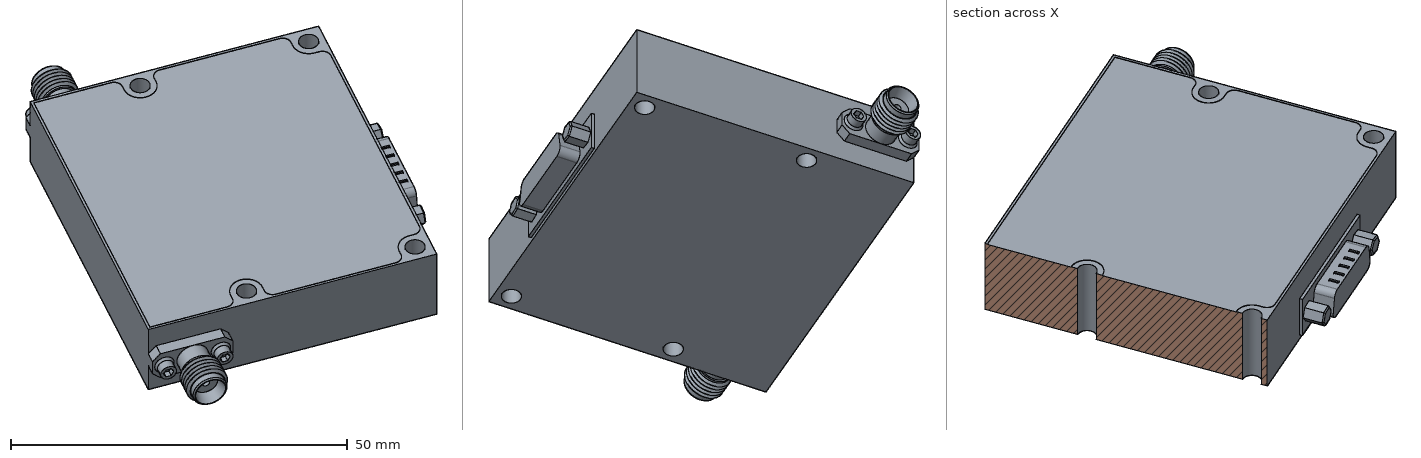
import cadquery as cq
import math

housing_width = 50.8
housing_depth = 45.7
housing_height = 12.7

mount_hole_dia = 3.0
mount_hole_inset = 2.5
mount_x = housing_width / 2 - mount_hole_inset
mount_rear_y = housing_depth - mount_hole_inset
mount_front_y = 16.5

lid_margin = 0.4
lid_recess = 0.1
lid_ear_radius = 2.5
lid_corner_radius = 1.3

coax_overall_width = 69.85
coax_y = 6.35
coax_z = housing_height / 2
coax_length = (coax_overall_width - housing_width) / 2
coax_flange_length = 2 * coax_y
coax_flange_height = 5.0
coax_flange_thickness = 1.8
coax_flange_chamfer = 1.25
barrel_dia = 4.95
tip_dia = 5.4
tip_length = 1.2
tip_chamfer = 0.2
thread_root_dia = 5.6
thread_crest_dia = 6.5
thread_pitch = 0.7
thread_crests = 5
thread_runout = 0.35
mouth_dia = 4.75
mouth_floor_dia = 3.7
mouth_depth = 1.95
contact_hole_dia = 1.1
contact_hole_depth = 1.4

screw_spacing = 8.95
screw_head_dia = 2.5
screw_head_length = 1.8
screw_collar_dia = 3.1
screw_collar_length = 0.4
screw_socket_across_flats = 1.4
screw_socket_depth = 1.0

port_z = 4.25
port_length = 3.8
port_flange_width = 21.65
port_flange_height = 6.9
port_flange_thickness = 0.5
shell_bottom_width = 14.3
shell_height = 4.8
shell_side_angle = 10.0
shell_corner_radius = 1.1
shell_slot_count = 5
shell_slot_pitch = 1.9
shell_slot_width = 0.5
shell_slot_length = 1.55
shell_slot_depth = 0.3
shell_slot_end_gap = 0.5
jack_spacing = 18.1
jack_across_corners = 3.2
jack_turn = 7.0
jack_end_chamfer = 0.2


def make_housing():
    return cq.Workplane("XY").box(
        housing_width, housing_depth, housing_height, centered=(True, False, False)
    )


def lid_ear(side, y, reach_back):
    """Area left uncovered by the lid: a disc about a mounting hole, widened to the housing edges."""
    plane = cq.Workplane("XY", origin=(side * mount_x, y, housing_height - lid_recess))
    ear = plane.circle(lid_ear_radius).extrude(lid_recess)
    to_side = plane.center(side * lid_ear_radius / 2, 0).rect(lid_ear_radius, 2 * lid_ear_radius)
    ear = ear.union(to_side.extrude(lid_recess))
    if reach_back:
        to_back = plane.center(0, lid_ear_radius / 2).rect(2 * lid_ear_radius, lid_ear_radius)
        ear = ear.union(to_back.extrude(lid_recess))
    return ear


def make_lid_recess():
    """Shallow recess with the lid outline; only its corners beside the ears are rounded."""
    recess = (
        cq.Workplane("XY", origin=(0, housing_depth / 2, housing_height - lid_recess))
        .rect(housing_width - 2 * lid_margin, housing_depth - 2 * lid_margin)
        .extrude(lid_recess)
    )
    for side in (-1, 1):
        recess = recess.cut(lid_ear(side, mount_rear_y, True))
        recess = recess.cut(lid_ear(side, mount_front_y, False))
    margin_x = housing_width / 2 - lid_margin
    rear_corner = (mount_x - lid_ear_radius, housing_depth - lid_margin)
    side_corners_y = (
        mount_rear_y - lid_ear_radius,
        mount_front_y + lid_ear_radius,
        mount_front_y - lid_ear_radius,
    )
    corners = [rear_corner] + [(margin_x, y) for y in side_corners_y]
    for x, y in corners:
        for side in (-1, 1):
            corner = cq.selectors.NearestToPointSelector((side * x, y, housing_height - lid_recess / 2))
            recess = recess.edges("|Z").edges(corner).fillet(lid_corner_radius)
    return recess


def make_mount_holes():
    points = [(side * mount_x, y) for side in (-1, 1) for y in (mount_front_y, mount_rear_y)]
    return cq.Workplane("XY").pushPoints(points).circle(mount_hole_dia / 2).extrude(housing_height)


def make_coax_body():
    """Barrel, ring-shaped thread and tip, turned about X and growing along +X from x = 0."""
    tip_start = coax_length - tip_length
    thread_start = tip_start - thread_crests * thread_pitch
    root = thread_root_dia / 2
    crest = thread_crest_dia / 2
    profile = [
        (0, 0),
        (0, barrel_dia / 2),
        (thread_start - thread_runout, barrel_dia / 2),
        (thread_start - thread_runout, root),
        (thread_start, root),
    ]
    for ring in range(thread_crests):
        ring_start = thread_start + ring * thread_pitch
        profile.append((ring_start + thread_pitch / 2, crest))
        profile.append((ring_start + thread_pitch, root))
    profile += [
        (tip_start, tip_dia / 2),
        (coax_length - tip_chamfer, tip_dia / 2),
        (coax_length, tip_dia / 2 - tip_chamfer),
        (coax_length, mouth_dia / 2),
        (coax_length - mouth_depth, mouth_floor_dia / 2),
        (coax_length - mouth_depth, contact_hole_dia / 2),
        (coax_length - mouth_depth - contact_hole_depth, contact_hole_dia / 2),
        (coax_length - mouth_depth - contact_hole_depth, 0),
    ]
    return cq.Workplane("XY").polyline(profile).close().revolve(360, (0, 0, 0), (1, 0, 0))


def make_flange_screw():
    """Screw head with a tapered collar and a hexagon socket, seated on the flange face."""
    seat = cq.Workplane("YZ", origin=(coax_flange_thickness, 0, 0))
    head = seat.circle(screw_head_dia / 2).extrude(screw_head_length)
    collar = (
        seat.circle(screw_collar_dia / 2)
        .workplane(offset=screw_collar_length)
        .circle(screw_head_dia / 2)
        .loft(ruled=True)
    )
    socket = (
        cq.Workplane("YZ", origin=(coax_flange_thickness + screw_head_length, 0, 0))
        .polygon(6, screw_socket_across_flats / math.cos(math.radians(30)))
        .extrude(-screw_socket_depth)
    )
    return head.union(collar).cut(socket)


def make_coax_connector():
    """Complete connector pointing along +X, mounted on the right side of the housing."""
    connector = (
        cq.Workplane("YZ")
        .rect(coax_flange_length, coax_flange_height)
        .extrude(coax_flange_thickness)
        .edges("|X")
        .chamfer(coax_flange_chamfer)
    )
    connector = connector.union(make_coax_body())
    for side in (-1, 1):
        connector = connector.union(make_flange_screw().translate((0, side * screw_spacing / 2, 0)))
    return connector.translate((housing_width / 2, coax_y, coax_z))


def make_port_shell():
    """D-shaped plug shell, narrower at the top, with a row of slots in its upper face."""
    bottom_half = shell_bottom_width / 2
    top_half = bottom_half - shell_height * math.tan(math.radians(shell_side_angle))
    half_height = shell_height / 2
    back_plane = cq.Workplane("XZ", origin=(0, housing_depth, port_z))
    shell = (
        back_plane.polyline(
            [
                (-bottom_half, -half_height),
                (bottom_half, -half_height),
                (top_half, half_height),
                (-top_half, half_height),
            ]
        )
        .close()
        .extrude(-port_length)
        .edges("|Y")
        .fillet(shell_corner_radius)
    )
    slot_y = housing_depth + port_length - shell_slot_end_gap - shell_slot_length / 2
    slots = (
        cq.Workplane("XY", origin=(0, slot_y, port_z + half_height))
        .rarray(shell_slot_pitch, 0.7, shell_slot_count, 1)
        .rect(shell_slot_width, shell_slot_length)
        .extrude(-shell_slot_depth)
    )
    return shell.cut(slots)


def make_jack_post(side):
    """Hexagonal post beside the shell, turned slightly about its own axis."""
    post = (
        cq.Workplane("XZ")
        .polygon(6, jack_across_corners)
        .extrude(-port_length)
        .faces(">Y")
        .chamfer(jack_end_chamfer)
        .rotate((0, 0, 0), (0, 1, 0), side * jack_turn)
    )
    return post.translate((side * jack_spacing / 2, housing_depth, port_z))


def make_port():
    port = (
        cq.Workplane("XZ", origin=(0, housing_depth, port_z))
        .rect(port_flange_width, port_flange_height)
        .extrude(-port_flange_thickness)
    )
    port = port.union(make_port_shell())
    for side in (-1, 1):
        port = port.union(make_jack_post(side))
    return port


housing = make_housing().cut(make_lid_recess()).cut(make_mount_holes())
right_connector = make_coax_connector()
left_connector = right_connector.mirror("YZ")
result = housing.union(right_connector).union(left_connector).union(make_port())